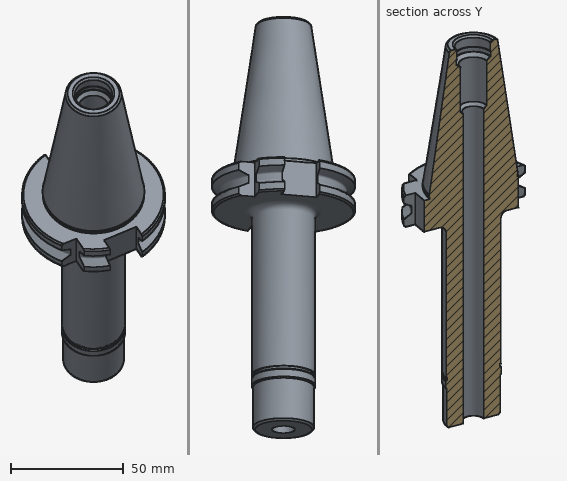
import cadquery as cq
import math

total_length = 188.4
taper_length = 68.2
nose_z = taper_length - total_length

gauge_diameter = 44.7
taper_ratio = 7 / 24
small_end_radius = (gauge_diameter - taper_length * taper_ratio) / 2
small_end_chamfer = 1.0
collar_radius = 22.6
collar_top_z = -1.1
collar_bottom_z = -2.8
collar_chamfer = 0.2
taper_end_radius = (gauge_diameter - collar_top_z * taper_ratio) / 2
neck_radius = 22.2

flange_radius = 63.5 / 2
flange_top_z = -3.4
flange_thickness = 15.8
flange_bottom_z = flange_top_z - flange_thickness
flange_chamfer = 0.8
groove_floor_radius = 28.0
groove_mid_z = -11.3
groove_floor_width = 3.5
groove_floor_fillet = 0.8
groove_wall_angle = 30.0
groove_wall_rise = (flange_radius - groove_floor_radius) * math.tan(math.radians(groove_wall_angle))

slot_width = 16.2
left_slot_floor = 22.8
right_slot_floor = 25.0
notch_inset = 18.5

body_radius = 28.0 / 2
ring_radius = 14.1
body_fillet = 3.0
ring_groove_top_z = -95.0
ring_groove_width = 1.1
ring_groove_depth = 0.5
ring_bottom_z = -100.6
ring_chamfer = 0.5
nose_radius = 13.5
nose_chamfer = 1.0

mouth_countersink = 1.0
counterbore_radius = 8.3
relief_radius = 8.7
relief_start = 5.7
relief_end = 8.1
thread_radius = 6.5
thread_depth = 32.0
through_radius = 5.0


def revolve_about_z(outline):
    return outline.close().revolve(360, (0, 0, 0), (0, 1, 0))


def turned_blank():
    """Outer profile of the holder, revolved about Z."""
    groove_half = groove_floor_width / 2
    ring_groove_bottom_z = ring_groove_top_z - ring_groove_width
    outline = (
        cq.Workplane("XZ")
        .moveTo(0, taper_length)
        .lineTo(small_end_radius - small_end_chamfer, taper_length)
        .lineTo(small_end_radius, taper_length - small_end_chamfer)
        .lineTo(taper_end_radius, collar_top_z)
        .lineTo(collar_radius, collar_top_z - collar_chamfer)
        .lineTo(collar_radius, collar_bottom_z + collar_chamfer)
        .lineTo(neck_radius, collar_bottom_z)
        .lineTo(neck_radius, flange_top_z)
        .lineTo(flange_radius - flange_chamfer, flange_top_z)
        .lineTo(flange_radius, flange_top_z - flange_chamfer)
        .lineTo(flange_radius, groove_mid_z + groove_half + groove_wall_rise)
        .lineTo(groove_floor_radius, groove_mid_z + groove_half)
        .lineTo(groove_floor_radius, groove_mid_z - groove_half)
        .lineTo(flange_radius, groove_mid_z - groove_half - groove_wall_rise)
        .lineTo(flange_radius, flange_bottom_z + flange_chamfer)
        .lineTo(flange_radius - flange_chamfer, flange_bottom_z)
        .lineTo(body_radius + body_fillet, flange_bottom_z)
        .radiusArc((body_radius, flange_bottom_z - body_fillet), -body_fillet)
        .lineTo(body_radius, ring_groove_top_z)
        .lineTo(body_radius - ring_groove_depth, ring_groove_top_z)
        .lineTo(body_radius - ring_groove_depth, ring_groove_bottom_z)
        .lineTo(ring_radius - ring_chamfer, ring_groove_bottom_z)
        .lineTo(ring_radius, ring_groove_bottom_z - ring_chamfer)
        .lineTo(ring_radius, ring_bottom_z + ring_chamfer)
        .lineTo(nose_radius, ring_bottom_z)
        .lineTo(nose_radius, nose_z + nose_chamfer)
        .lineTo(nose_radius - nose_chamfer, nose_z)
        .lineTo(0, nose_z)
    )
    blank = revolve_about_z(outline)
    floor_corners = blank.edges("%CIRCLE").filter(
        lambda edge: math.isclose(edge.radius(), groove_floor_radius)
    )
    return floor_corners.fillet(groove_floor_fillet)


def bore():
    """Stepped bore running from the small end of the taper out through the nose."""
    thread_lead_in = counterbore_radius - thread_radius
    thread_end_cone = thread_radius - through_radius
    outline = (
        cq.Workplane("XZ")
        .moveTo(0, taper_length)
        .lineTo(counterbore_radius + mouth_countersink, taper_length)
        .lineTo(counterbore_radius, taper_length - mouth_countersink)
        .lineTo(counterbore_radius, taper_length - relief_start)
        .lineTo(relief_radius, taper_length - relief_start)
        .lineTo(relief_radius, taper_length - relief_end)
        .lineTo(counterbore_radius, taper_length - relief_end)
        .lineTo(thread_radius, taper_length - relief_end - thread_lead_in)
        .lineTo(thread_radius, taper_length - thread_depth)
        .lineTo(through_radius, taper_length - thread_depth - thread_end_cone)
        .lineTo(through_radius, nose_z)
        .lineTo(0, nose_z)
    )
    return revolve_about_z(outline)


def flange_cutter(x_start, x_size, y_start, y_size):
    """Box as tall as the flange, from one corner in X and Y."""
    corner = (x_start, y_start, flange_bottom_z)
    return cq.Workplane("XY").box(x_size, y_size, flange_thickness, centered=False).translate(corner)


right_slot = flange_cutter(right_slot_floor, flange_radius, -slot_width / 2, slot_width)
left_slot = flange_cutter(-left_slot_floor - flange_radius, flange_radius, -slot_width / 2, slot_width)
notch = flange_cutter(notch_inset, flange_radius, -notch_inset - flange_radius, flange_radius)

result = turned_blank().cut(bore()).cut(right_slot).cut(left_slot).cut(notch)